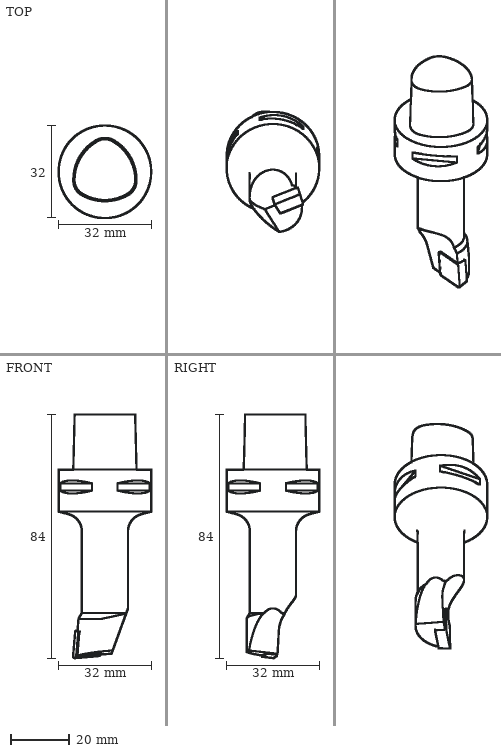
import cadquery as cq
import math


coupling_length = 19.0
lobe_centre_distance = 5.7
lobe_radius = 6.0
coupling_taper = 1 / 40

flange_radius = 16.0
flange_length = 14.5
slot_count = 4
slot_floor_distance = 14.0
slot_floor_height = 2.5
slot_mouth_height = 4.5
slot_centre_z = -6.0

shank_radius = 8.0
neck_fillet_radius = 6.0
neck_slope = math.radians(15)

tool_length = 65.0
head_cone_start_z = -49.4
head_cone_height = 2.0
head_radius = 9.15
head_flare = math.radians(4.6)
relief_radius = 9.1
relief_centre_x = -1.1
heel_angle = math.radians(20)
heel_start_z = -47.8

tip_x = -11.0
rake_angle = 8.8
lead_angle = math.radians(5)
insert_inscribed_diameter = 9.525
insert_corner_angle = math.radians(80)
insert_thickness = 3.97
insert_clearance = 7.0
nose_radius = 0.8

face_step = 0.43
underside_setback = 0.33
flute_radius = 12.0
flute_tilt = 14.5
flute_fold_height = 13.8

insert_plane = cq.Plane(
    origin=(tip_x, 0, -tool_length),
    xDir=(math.cos(math.radians(rake_angle)), math.sin(math.radians(rake_angle)), 0),
    normal=(math.sin(math.radians(rake_angle)), -math.cos(math.radians(rake_angle)), 0),
)


def polar(radius, degrees, centre=(0, 0)):
    angle = math.radians(degrees)
    return (centre[0] + radius * math.cos(angle), centre[1] + radius * math.sin(angle))


def coupling_outline(z, corner_radius):
    """Closed outline of three lobe arcs and three flatter arcs, each centred on a lobe."""
    flank_radius = corner_radius + math.sqrt(3) * lobe_centre_distance
    lobe_angles = (90, 210, 330)
    centres = [polar(lobe_centre_distance, angle) for angle in lobe_angles]
    outline = cq.Workplane("XY").workplane(offset=z).moveTo(*polar(corner_radius, 60, centres[0]))
    for i, angle in enumerate(lobe_angles):
        opposite = centres[(i + 2) % 3]
        outline = outline.threePointArc(
            polar(corner_radius, angle, centres[i]), polar(corner_radius, angle + 30, centres[i])
        )
        outline = outline.threePointArc(
            polar(flank_radius, angle + 60, opposite), polar(flank_radius, angle + 90, opposite)
        )
    return outline.close().val()


def make_coupling():
    tip_lobe_radius = lobe_radius - coupling_length * coupling_taper
    return cq.Workplane(
        cq.Solid.makeLoft(
            [coupling_outline(0, lobe_radius), coupling_outline(coupling_length, tip_lobe_radius)], True
        )
    )


def make_turned_body():
    """Flange, sloped and filleted neck, shank and flared head as one revolution."""
    neck_tangent_radius = shank_radius + neck_fillet_radius * (1 - math.sin(neck_slope))
    neck_tangent_z = -flange_length - (flange_radius - neck_tangent_radius) * math.tan(neck_slope)
    neck_end_z = neck_tangent_z - neck_fillet_radius * math.cos(neck_slope)
    arc_middle = polar(
        neck_fillet_radius,
        (180 + math.degrees(math.pi / 2 + neck_slope)) / 2,
        (shank_radius + neck_fillet_radius, neck_end_z),
    )
    head_top_z = head_cone_start_z - head_cone_height
    head_end_radius = head_radius + (tool_length + head_top_z) * math.tan(head_flare)
    return (
        cq.Workplane("XZ")
        .lineTo(flange_radius, 0)
        .lineTo(flange_radius, -flange_length)
        .lineTo(neck_tangent_radius, neck_tangent_z)
        .threePointArc(arc_middle, (shank_radius, neck_end_z))
        .lineTo(shank_radius, head_cone_start_z)
        .lineTo(head_radius, head_top_z)
        .lineTo(head_end_radius, -tool_length)
        .lineTo(0, -tool_length)
        .close()
        .revolve(360, (0, 0, 0), (0, 1, 0))
    )


def make_gripper_slot():
    """Slot across the flange on +X, with a flat floor and sloped sides."""
    return (
        cq.Workplane("XZ", origin=(0, 0, slot_centre_z))
        .moveTo(slot_floor_distance, -slot_floor_height / 2)
        .lineTo(flange_radius, -slot_mouth_height / 2)
        .lineTo(flange_radius, slot_mouth_height / 2)
        .lineTo(slot_floor_distance, slot_floor_height / 2)
        .close()
        .extrude(flange_radius, both=True)
    )


def make_head_relief():
    """Ring that trims the head to a cylinder set off from the bar axis."""
    height = tool_length + head_cone_start_z
    return (
        cq.Workplane("XY", origin=(relief_centre_x, 0, -tool_length))
        .circle(2 * relief_radius)
        .circle(relief_radius)
        .extrude(height)
    )


def make_heel_cut():
    """Wedge that slopes the side of the head away from the insert."""
    drop = tool_length + heel_start_z
    return (
        cq.Workplane("XZ")
        .moveTo(shank_radius, heel_start_z)
        .lineTo(shank_radius - drop * math.tan(heel_angle), -tool_length)
        .lineTo(2 * shank_radius, -tool_length)
        .lineTo(2 * shank_radius, heel_start_z)
        .close()
        .extrude(flange_radius, both=True)
    )


def make_chip_flute():
    """Flat face just below the insert's, running out upwards in a round of tilted axis."""
    reach = 2 * flange_radius
    face_plane = cq.Plane(
        origin=insert_plane.toWorldCoords((0, flute_fold_height, face_step)),
        xDir=insert_plane.xDir,
        normal=insert_plane.zDir,
    ).rotated((0, 0, -flute_tilt))
    profile_plane = cq.Plane(
        origin=face_plane.origin, xDir=face_plane.yDir, normal=face_plane.xDir
    )
    return (
        cq.Workplane(profile_plane)
        .moveTo(-reach, 0)
        .lineTo(0, 0)
        .threePointArc(polar(flute_radius, 45, (0, -flute_radius)), (flute_radius, -flute_radius))
        .lineTo(-reach, -flute_radius)
        .close()
        .extrude(reach, both=True)
    )


def make_underside_cut():
    """Everything below the sloped underside, which is parallel to the insert's lower flank."""
    reach = 2 * flange_radius
    underside = insert_plane.rotated((0, 0, math.degrees(lead_angle))).rotated((-insert_clearance, 0, 0))
    return (
        cq.Workplane(underside)
        .center(0, underside_setback - reach / 2)
        .rect(2 * reach, reach)
        .extrude(reach, both=True)
    )


def make_holder():
    holder = make_turned_body().union(make_coupling())
    slot = make_gripper_slot()
    for i in range(slot_count):
        holder = holder.cut(slot.rotate((0, 0, 0), (0, 0, 1), 45 + i * 360 / slot_count))
    for tool in (make_head_relief(), make_heel_cut(), make_chip_flute(), make_underside_cut()):
        holder = holder.cut(tool)
    return holder


def make_insert():
    """Rhombic insert whose nose touches the tip lines x = 0 and y = 0 of its plane."""
    side = insert_inscribed_diameter / math.sin(insert_corner_angle)
    half_corner = insert_corner_angle / 2
    nose_to_corner = nose_radius / math.sin(half_corner)
    corner_offset = nose_radius - nose_to_corner * math.cos(math.pi / 4)
    low_edge = (side * math.cos(lead_angle), side * math.sin(lead_angle))
    side_edge = (side * math.sin(lead_angle), side * math.cos(lead_angle))
    corner = cq.Vector(corner_offset, corner_offset)
    along_low = cq.Vector(*low_edge)
    along_side = cq.Vector(*side_edge)
    outline = cq.Wire.makePolygon(
        [corner, corner + along_low, corner + along_low + along_side, corner + along_side], close=True
    )
    rounded = outline.fillet2D(nose_radius, outline.Vertices())
    return (
        cq.Workplane(insert_plane)
        .add(rounded.moved(cq.Location(insert_plane)))
        .toPending()
        .extrude(insert_thickness, taper=insert_clearance)
    )


insert = make_insert()
holder = make_holder().cut(insert)
result = cq.Compound.makeCompound([holder.val(), insert.val()])